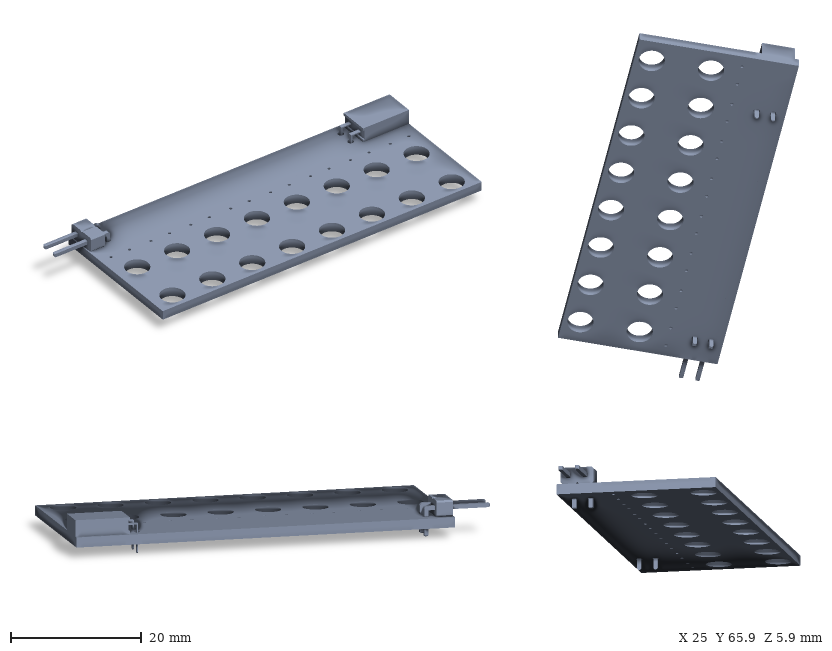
import cadquery as cq

BOARD_WIDTH = 25.0
BOARD_LENGTH = 60.0
BOARD_THICKNESS = 1.6

LARGE_HOLE_DIAMETER = 4.0
LARGE_HOLE_COLUMNS = (13.0, 22.3)
ROW_COUNT = 8
ROW_SPAN = 52.55
ROW_PITCH = ROW_SPAN / (ROW_COUNT - 1)
FIRST_LARGE_HOLE_Y = (BOARD_LENGTH - ROW_SPAN) / 2

SMALL_HOLE_DIAMETER = 0.5
SMALL_HOLE_X = 8.5
SMALL_HOLE_SPACING = 3.5
FIRST_SMALL_HOLE_Y = 2.0

PIN_COUNT = 2
PIN_PITCH = 2.6
FIRST_PIN_X = 1.9
PIN_WIDTH = 0.64
PIN_HOLE_DIAMETER = 1.0
CONNECTOR_LEFT = FIRST_PIN_X - PIN_PITCH / 2
CONNECTOR_WIDTH = PIN_COUNT * PIN_PITCH
CONNECTOR_HEIGHT = 2.6
PIN_AXIS_Z = CONNECTOR_HEIGHT / 2

HEADER_FRONT_Y = 0.2
HEADER_DEPTH = 2.6
HEADER_CHAMFER = 0.25
HEADER_LEG_Y = 4.15
HEADER_PIN_REACH = 5.9
HEADER_LEG_PROTRUSION = 1.5
HEADER_LEG_BOTTOM_Z = -BOARD_THICKNESS - HEADER_LEG_PROTRUSION
HEADER_BEND_RADIUS = 0.45
PIN_TIP_CHAMFER = 0.1

SOCKET_DEPTH = 8.65
SOCKET_FRONT_Y = BOARD_LENGTH - SOCKET_DEPTH
SOCKET_SLOT_HEIGHT = 1.65
SOCKET_SLOT_DEPTH = 0.25
SOCKET_LEG_INSET = 10.1
SOCKET_LEG_Y = BOARD_LENGTH - SOCKET_LEG_INSET
SOCKET_LEG_PROTRUSION = 1.7
SOCKET_LEG_BOTTOM_Z = -BOARD_THICKNESS - SOCKET_LEG_PROTRUSION
SOCKET_PIN_THICKNESS = 0.2
SOCKET_PIN_EMBED = 0.25
SOCKET_TIP_CHAMFER = 0.2

PIN_COLUMNS = [FIRST_PIN_X + i * PIN_PITCH for i in range(PIN_COUNT)]


def make_board():
    large_holes = [
        (x, FIRST_LARGE_HOLE_Y + row * ROW_PITCH)
        for x in LARGE_HOLE_COLUMNS
        for row in range(ROW_COUNT)
    ]
    small_holes = [
        (SMALL_HOLE_X, FIRST_SMALL_HOLE_Y + row * ROW_PITCH + offset)
        for row in range(ROW_COUNT)
        for offset in (0, SMALL_HOLE_SPACING)
    ]
    pin_holes = [(x, y) for x in PIN_COLUMNS for y in (HEADER_LEG_Y, SOCKET_LEG_Y)]

    board = cq.Workplane("XY").box(BOARD_WIDTH, BOARD_LENGTH, BOARD_THICKNESS, centered=False)
    board = board.translate((0, 0, -BOARD_THICKNESS))
    for points, diameter in (
        (large_holes, LARGE_HOLE_DIAMETER),
        (small_holes, SMALL_HOLE_DIAMETER),
        (pin_holes, PIN_HOLE_DIAMETER),
    ):
        drills = cq.Workplane("XY").pushPoints(points).circle(diameter / 2).extrude(-BOARD_THICKNESS)
        board = board.cut(drills)
    return board


def bent_pin(x, start_y, leg_y, bottom_z, thickness):
    """L-shaped pin: a level arm from start_y to leg_y, then a leg down to bottom_z."""
    half = thickness / 2
    outward = half if leg_y > start_y else -half
    outline = [
        (start_y, PIN_AXIS_Z + half),
        (leg_y + outward, PIN_AXIS_Z + half),
        (leg_y + outward, bottom_z),
        (leg_y - outward, bottom_z),
        (leg_y - outward, PIN_AXIS_Z - half),
        (start_y, PIN_AXIS_Z - half),
    ]
    pin = cq.Workplane("YZ").polyline(outline).close().extrude(PIN_WIDTH)
    return pin.translate((x - PIN_WIDTH / 2, 0, 0))


def make_header_pin(x):
    pin = bent_pin(x, -HEADER_PIN_REACH, HEADER_LEG_Y, HEADER_LEG_BOTTOM_Z, PIN_WIDTH)
    pin = pin.edges("|X and >Y and >Z").fillet(HEADER_BEND_RADIUS)
    pin = pin.faces("<Y").chamfer(PIN_TIP_CHAMFER)
    return pin.faces("<Z").chamfer(PIN_TIP_CHAMFER)


def make_header():
    header = None
    for x in PIN_COLUMNS:
        block = cq.Workplane("XY").box(
            PIN_PITCH, HEADER_DEPTH, CONNECTOR_HEIGHT, centered=(True, False, False)
        )
        block = block.edges("|Y").chamfer(HEADER_CHAMFER)
        block = block.translate((x, HEADER_FRONT_Y, 0)).union(make_header_pin(x))
        header = block if header is None else header.union(block)
    return header


def make_socket_pin(x):
    root_y = SOCKET_FRONT_Y + SOCKET_SLOT_DEPTH + SOCKET_PIN_EMBED
    pin = bent_pin(x, root_y, SOCKET_LEG_Y, SOCKET_LEG_BOTTOM_Z, SOCKET_PIN_THICKNESS)
    return pin.faces("<Z").edges("|Y").chamfer(SOCKET_TIP_CHAMFER)


def make_socket():
    socket = cq.Workplane("XY").box(CONNECTOR_WIDTH, SOCKET_DEPTH, CONNECTOR_HEIGHT, centered=False)
    slot = cq.Workplane("XY").box(
        CONNECTOR_WIDTH, SOCKET_SLOT_DEPTH, SOCKET_SLOT_HEIGHT, centered=False
    )
    slot = slot.translate((0, 0, (CONNECTOR_HEIGHT - SOCKET_SLOT_HEIGHT) / 2))
    socket = socket.cut(slot).translate((CONNECTOR_LEFT, SOCKET_FRONT_Y, 0))
    for x in PIN_COLUMNS:
        socket = socket.union(make_socket_pin(x))
    return socket


board = make_board()
header = make_header()
socket = make_socket()
result = cq.Compound.makeCompound([board.val(), header.val(), socket.val()])